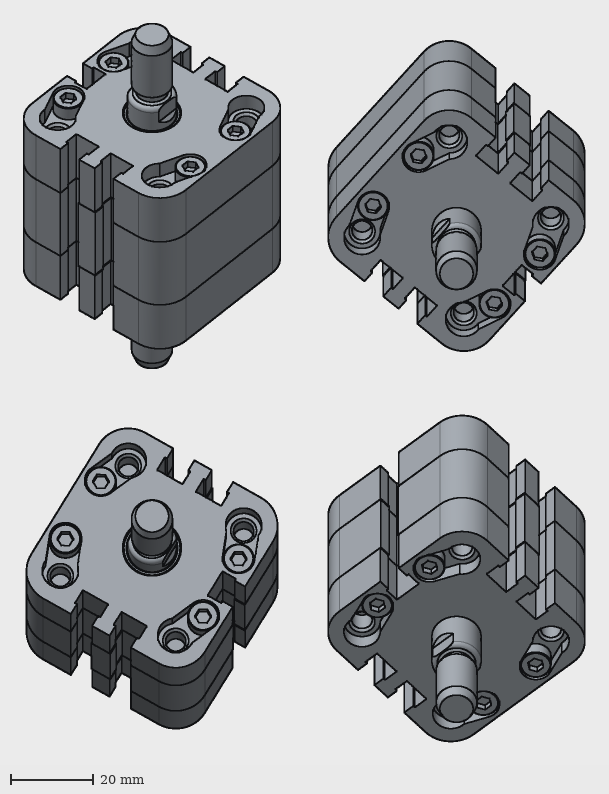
import cadquery as cq
import math


BODY_WIDTH = 49.0
BODY_HEIGHT = BODY_WIDTH
CORNER_RADIUS = 8.2
CAP_HEIGHT = 14.3
BARREL_HEIGHT = BODY_HEIGHT - 2 * CAP_HEIGHT
HALF_WIDTH = BODY_WIDTH / 2
HALF_BARREL = BARREL_HEIGHT / 2
HALF_BODY = BODY_HEIGHT / 2

SLOT_MOUTH = 6.0
SLOT_WIDTH = 7.1
SLOT_LIP = 2.9
SLOT_DEPTH = 6.7
SLOT_OFFSET = 5.5
BARREL_POST_EXTRA = 0.2
BARREL_LIP_EXTRA = 0.2

MOUNT_HOLE_POSITION = 16.3
MOUNT_HOLE_DIAMETER = 4.9
MOUNT_HOLE_MOUTH = 6.3
MOUNT_HOLE_DEPTH = 6.3
SCREW_X = 19.4
SCREW_Y = 8.5
POCKET_DEPTH = 4.3
POCKET_HOLE_END = 8.8
POCKET_SLOT_WIDTH = 7.9
SCREW_HEAD_DIAMETER = 7.5
SCREW_HEAD_RECESS = 0.5
SCREW_HEAD_CHAMFER = 0.2
HEX_ACROSS_CORNERS = 4.0
HEX_DEPTH = 1.9

ROD_LENGTH = 105.0
ROD_DIAMETER = 12.0
STROKE = 5.0
TOP_EXTENSION = (ROD_LENGTH - BODY_HEIGHT - STROKE) / 2
ROD_TOP = HALF_BODY + TOP_EXTENSION
ROD_BOTTOM = ROD_TOP - ROD_LENGTH
THREAD_DIAMETER = 10.0
TIP_DIAMETER = 8.1
NECK_DIAMETER = 7.9
SHOULDER_DIAMETER = 9.5
FLATS_ACROSS = 10.0
TIP_LENGTH = 2.5
THREAD_END = 16.1
NECK_START = 16.7
NECK_END = 18.5
SHOULDER_START = 18.9
SHOULDER_END = 20.1
FLAT_END = 23.3

WIPER_DIAMETER = 13.6
WIPER_SEAT_MOUTH = 14.3
WIPER_BORE_MOUTH = 12.5
WIPER_HEIGHT = 1.6
WIPER_RECESS = (WIPER_SEAT_MOUTH - WIPER_DIAMETER) / 2


def cylinder(diameter, bottom, height):
    return cq.Workplane("XY").workplane(offset=bottom).circle(diameter / 2).extrude(height)


def cone(bottom_diameter, top_diameter, bottom, height):
    return (
        cq.Workplane("XY").workplane(offset=bottom).circle(bottom_diameter / 2)
        .workplane(offset=height).circle(top_diameter / 2).loft()
    )


def t_slot(bottom, height, left_narrowing, right_narrowing, neck_narrowing):
    """T-slot open toward -Y on the face Y = -HALF_WIDTH, centred on X = 0."""
    outer = -HALF_WIDTH
    lip = outer + SLOT_LIP
    floor = outer + SLOT_DEPTH
    mouth_left = -SLOT_MOUTH / 2 + left_narrowing
    mouth_right = SLOT_MOUTH / 2 - right_narrowing
    neck_left = -SLOT_WIDTH / 2
    neck_right = SLOT_WIDTH / 2 - neck_narrowing
    return (
        cq.Workplane("XY").workplane(offset=bottom)
        .polyline([
            (mouth_left, outer), (mouth_left, lip), (neck_left, lip), (neck_left, floor),
            (neck_right, floor), (neck_right, lip), (mouth_right, lip), (mouth_right, outer),
        ])
        .close().extrude(height)
    )


def slotted_block(bottom, height, post_extra, lip_extra):
    """Rounded square block with two slots on each Y face, one on the -X face and the rod bore."""
    block = (
        cq.Workplane("XY").workplane(offset=bottom).rect(BODY_WIDTH, BODY_WIDTH).extrude(height)
        .edges("|Z").fillet(CORNER_RADIUS)
    )
    left_slot = t_slot(bottom, height, 0, post_extra, post_extra).translate((-SLOT_OFFSET, 0, 0))
    front_slots = left_slot.union(left_slot.mirror("YZ"))
    side_slot = t_slot(bottom, height, lip_extra, lip_extra, 0).rotate((0, 0, 0), (0, 0, 1), -90)
    block = block.cut(front_slots).cut(front_slots.mirror("XZ")).cut(side_slot)
    return block.cut(cylinder(ROD_DIAMETER, bottom, height))


def screw_pocket():
    """Pocket in the +X +Y corner: a slot from the hole to the screw, widened around the hole."""
    floor = HALF_BODY - POCKET_DEPTH
    step_x = SCREW_X - MOUNT_HOLE_POSITION
    step_y = SCREW_Y - MOUNT_HOLE_POSITION
    spacing = math.hypot(step_x, step_y)
    direction = math.degrees(math.atan2(step_y, step_x))
    slot = (
        cq.Workplane("XY").workplane(offset=floor)
        .center(spacing / 2, 0).slot2D(spacing + POCKET_SLOT_WIDTH, POCKET_SLOT_WIDTH)
        .extrude(POCKET_DEPTH)
        .rotate((0, 0, 0), (0, 0, 1), direction)
    )
    pocket = slot.union(cylinder(POCKET_HOLE_END, floor, POCKET_DEPTH))
    return pocket.translate((MOUNT_HOLE_POSITION, MOUNT_HOLE_POSITION, 0))


def mounting_hole():
    """Blind hole in the pocket floor with a 45 degree countersink."""
    floor = HALF_BODY - POCKET_DEPTH
    sink_depth = (MOUNT_HOLE_MOUTH - MOUNT_HOLE_DIAMETER) / 2
    hole = cylinder(MOUNT_HOLE_DIAMETER, floor - MOUNT_HOLE_DEPTH, MOUNT_HOLE_DEPTH)
    sink = cone(MOUNT_HOLE_DIAMETER, MOUNT_HOLE_MOUTH, floor - sink_depth, sink_depth)
    return hole.union(sink).translate((MOUNT_HOLE_POSITION, MOUNT_HOLE_POSITION, 0))


def screw_head():
    """Socket screw head standing on the pocket floor as part of the cap."""
    head_height = POCKET_DEPTH - SCREW_HEAD_RECESS
    head = cylinder(SCREW_HEAD_DIAMETER, HALF_BODY - POCKET_DEPTH, head_height)
    head = head.faces(">Z").chamfer(SCREW_HEAD_CHAMFER)
    socket = (
        cq.Workplane("XY").workplane(offset=HALF_BODY - SCREW_HEAD_RECESS - HEX_DEPTH)
        .polygon(6, HEX_ACROSS_CORNERS).extrude(HEX_DEPTH)
        .rotate((0, 0, 0), (0, 0, 1), 90)
    )
    return head.cut(socket).translate((SCREW_X, SCREW_Y, 0))


def in_four_corners(feature):
    pair = feature.union(feature.mirror("YZ"))
    return pair.union(pair.mirror("XZ"))


def end_cap():
    """Upper end cap with its four screw pockets."""
    cap = slotted_block(HALF_BARREL, CAP_HEIGHT, 0, 0)
    cap = cap.cut(in_four_corners(screw_pocket().union(mounting_hole())))
    return cap.union(in_four_corners(screw_head()))


def wiper_seat():
    """Recess for the wiper ring, widened at the mouth."""
    seat = cylinder(WIPER_DIAMETER, HALF_BODY - WIPER_RECESS - WIPER_HEIGHT, WIPER_HEIGHT + WIPER_RECESS)
    return seat.union(cone(WIPER_DIAMETER, WIPER_SEAT_MOUTH, HALF_BODY - WIPER_RECESS, WIPER_RECESS))


def wiper_ring():
    top = HALF_BODY - WIPER_RECESS
    lip = (WIPER_BORE_MOUTH - ROD_DIAMETER) / 2
    ring = cylinder(WIPER_DIAMETER, top - WIPER_HEIGHT, WIPER_HEIGHT)
    ring = ring.cut(cylinder(ROD_DIAMETER, top - WIPER_HEIGHT, WIPER_HEIGHT))
    return ring.cut(cone(ROD_DIAMETER, WIPER_BORE_MOUTH, top - lip, lip))


def rod_end(tip):
    """Upper rod end from its tip down to Z = 0: threaded stud, neck, round shoulder, two flats."""
    rod_radius = ROD_DIAMETER / 2
    shoulder_radius = SHOULDER_DIAMETER / 2
    round_width = rod_radius - shoulder_radius
    round_height = SHOULDER_END - SHOULDER_START
    arc_middle = (shoulder_radius + round_width * math.sin(math.pi / 4),
                  tip - SHOULDER_END + round_height * math.cos(math.pi / 4))
    end = (
        cq.Workplane("XZ")
        .moveTo(0, tip)
        .lineTo(TIP_DIAMETER / 2, tip)
        .lineTo(THREAD_DIAMETER / 2, tip - TIP_LENGTH)
        .lineTo(THREAD_DIAMETER / 2, tip - THREAD_END)
        .lineTo(NECK_DIAMETER / 2, tip - NECK_START)
        .lineTo(NECK_DIAMETER / 2, tip - NECK_END)
        .lineTo(shoulder_radius, tip - SHOULDER_START)
        .threePointArc(arc_middle, (rod_radius, tip - SHOULDER_END))
        .lineTo(rod_radius, 0)
        .lineTo(0, 0)
        .close().revolve(360, (0, 0, 0), (0, 1, 0))
    )
    flat = flat_cutter(tip)
    return end.cut(flat).cut(flat.mirror("YZ"))


def flat_cutter(tip):
    """Cutter for the +X wrench flat, running out to the rod surface at 45 degrees."""
    flat_x = FLATS_ACROSS / 2
    outer_x = ROD_DIAMETER
    return (
        cq.Workplane("XZ")
        .polyline([
            (flat_x, tip - NECK_END), (flat_x, tip - FLAT_END),
            (outer_x, tip - FLAT_END - (outer_x - flat_x)), (outer_x, tip - NECK_END),
        ])
        .close().extrude(ROD_DIAMETER / 2, both=True)
    )


barrel = slotted_block(-HALF_BARREL, BARREL_HEIGHT, BARREL_POST_EXTRA, BARREL_LIP_EXTRA)
top_cap = end_cap().cut(wiper_seat())
bottom_cap = end_cap().mirror("XY")
wiper = wiper_ring()
piston_rod = rod_end(ROD_TOP).union(rod_end(-ROD_BOTTOM).mirror("XY"))

result = cq.Compound.makeCompound([
    barrel.val(),
    top_cap.val(),
    bottom_cap.val(),
    wiper.val(),
    piston_rod.val(),
])